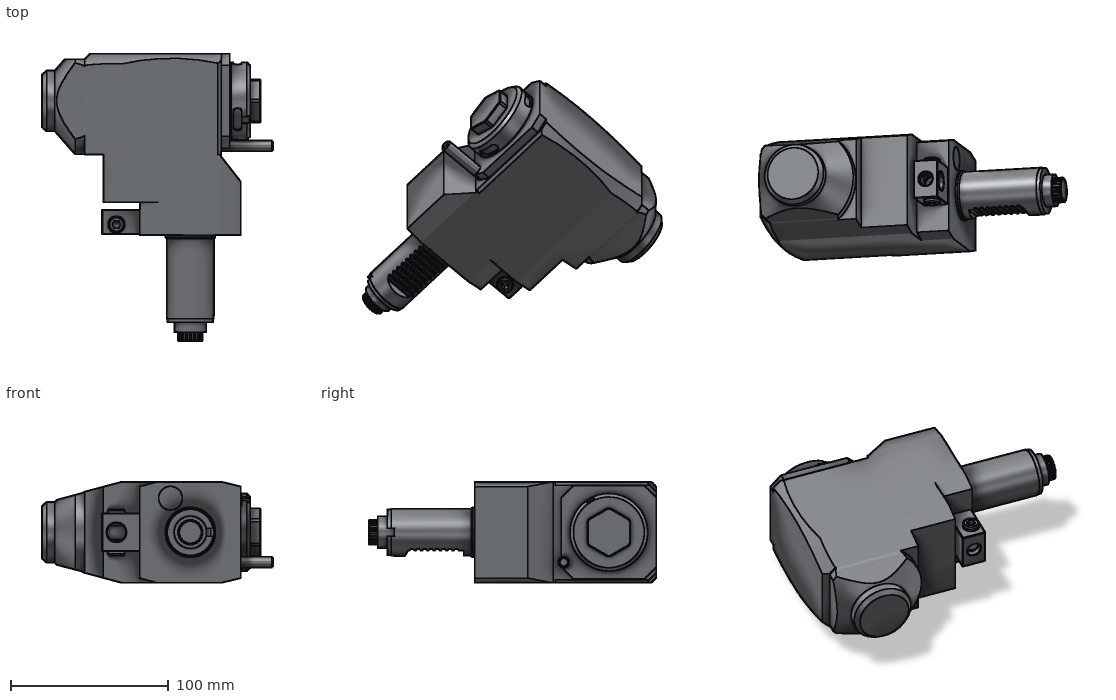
import cadquery as cq
import math


HALF_HEIGHT = 32.0
BASE_HALF_WIDTH = 32.0
BASE_DEPTH = 20.8
STEP_Y = 51.0
BACK_Y = 115.0
WAIST_X = -55.0
SPINDLE_FACE_X = -67.0
RIGHT_FACE_X = 19.5
SHOULDER_Y = 33.8
SHOULDER_TOP_Y = 49.8
BEVEL_ANGLE = 15.0
BASE_BEVEL_LEFT = -20.8
BASE_BEVEL_RIGHT = 19.8
HEAD_BEVEL_X = -43.5
BACK_CORNER = 3.6
BACK_ARC_X = -12.0
BACK_ARC_TOP_Y = 112.0
BACK_ARC_RADIUS = 140.0
RIGHT_CHAMFER = 2.1
PLUG_X, PLUG_Z = -12.6, 21.6
PLUG_RADIUS = 7.5
PLUG_RECESS = 0.2

SPINDLE_Y = 85.0
HEAD_RADIUS = 33.8
HEAD_CONE_X = -73.0
HEAD_NECK_X = -85.8
COLLAR_RADIUS = 19.3
COLLAR_END_X = -94.0
COLLAR_CHAMFER = 3.0
COLLAR_FACE_RADIUS = 16.6
HEAD_BEVEL_DROP = 0.4
HEAD_BEVEL_STEP = 1.8

PLATE_END_X = 25.0
PLATE_HALF_WIDTH = 30.0
PLATE_HALF_HEIGHT = 29.5
PLATE_CORNER = 7.5
NUT_NECK_RADIUS = 22.5
NUT_NECK_LENGTH = 1.0
NUT_RADIUS = 24.6
NUT_END_X = 38.0
NUT_CHAMFER = 2.2
SLOT_COUNT = 3
SLOT_X = 29.8
SLOT_WIDTH = 5.4
SLOT_LENGTH = 16.5
SLOT_DEPTH = 1.5
NOTCH_WIDTH = 5.0
HEX_CORNER_RADIUS = 15.8
HEX_EDGE_CHAMFER = 1.1
HEX_END_X = 44.4
HEX_CHAMFER = 0.5

OVERALL_LENGTH = 146.38
PIN_Y, PIN_Z = 56.5, -18.9
PIN_RADIUS = 3.5
PIN_END_X = COLLAR_END_X + OVERALL_LENGTH
PIN_CHAMFER = 1.0

SHANK_RADIUS = 15.0
FLANGE_RADIUS = 15.9
FLANGE_LENGTH = 1.2
FLANGE_TAPER = 1.0
SHANK_END_STEP = 52.8
SHANK_END_RADIUS = 14.6
SHANK_LENGTH = 55.2
JOURNAL_RADIUS = 10.2
JOURNAL_END = 61.3
SHAFT_END = 67.0
SPLINE_RADIUS = 7.9
SPLINE_ROOT_RADIUS = 6.9
SPLINE_TEETH = 20
SPLINE_CHAMFER = 0.5
KEY_WIDTH = 5.0
KEY_INNER_X = 9.6
KEY_DEPTH = 4.5
KEY_POCKET_END_X = 12.8
KEY_POCKET_DEPTH = 5.5

RACK_START = 6.9
RACK_END = 44.2
RACK_TIP_Z = -11.6
RACK_ROOT_Z = -10.6
RACK_FIRST_ROOT = 11.6
RACK_PITCH = 4.0
RACK_GAPS = 8
RACK_GAP_WIDTH = 3.2
RACK_ROOT_WIDTH = 1.2
RACK_RUNOUT = 2.2

BLOCK_END_X = -56.0
BLOCK_FRONT_Y, BLOCK_BACK_Y = 0.6, 16.2
BLOCK_HALF_HEIGHT = 12.1
BLOCK_CHAMFER = 0.4
SCREW_X, SCREW_Y = -46.8, 6.8
SCREW_RADIUS = 5.3
SCREW_HEAD_HEIGHT = 2.6
SCREW_CHAMFER = 1.0
SOCKET_RADIUS = 2.8
SOCKET_DEPTH = 5.0
SOCKET_TIP_DEPTH = 2.0
SCREW_TIP_Z = 4.3
CROSS_Y = 8.4
FRONT_BORE_RADIUS = 6.0
FRONT_BORE_END = 13.3
CROSS_BORE_RADIUS = 4.5
CROSS_BORE_END = -40.0
BORE_CHAMFER = 0.4
DRILL_RADIUS = 1.5
DRILL_LENGTH = 4.0


def rod_x(x_start, x_end, radius, y, z=0.0):
    """Cylinder along X."""
    return cq.Workplane("YZ", origin=(x_start, y, z)).circle(radius).extrude(x_end - x_start)


def rod_y(y_start, y_end, radius, x=0.0, z=0.0):
    """Cylinder along +Y from y_start to y_end."""
    return cq.Workplane("XZ", origin=(x, y_end, z)).circle(radius).extrude(y_end - y_start)


def bar_y(points, y_start, y_end):
    """Prism along Y with an XZ section."""
    return cq.Workplane("XZ", origin=(0, y_end, 0)).polyline(points).close().extrude(y_end - y_start)


def symmetric_section(upper):
    """Mirror an upper XZ edge line below Z = 0 to close a section."""
    return upper + [(x, -z) for x, z in reversed(upper)]


def bevel_z(start, x):
    """Height of a bevel that leaves the top plane at X = start."""
    return HALF_HEIGHT - abs(x - start) * math.tan(math.radians(BEVEL_ANGLE))


def make_base():
    edge_z = bevel_z(BASE_BEVEL_LEFT, -BASE_HALF_WIDTH)
    section = symmetric_section([
        (-BASE_HALF_WIDTH, edge_z),
        (BASE_BEVEL_LEFT, HALF_HEIGHT),
        (BASE_BEVEL_RIGHT, HALF_HEIGHT),
        (BASE_HALF_WIDTH, edge_z),
    ])
    outline = [
        (-BASE_HALF_WIDTH, 0),
        (BASE_HALF_WIDTH, 0),
        (BASE_HALF_WIDTH, SHOULDER_Y),
        (RIGHT_FACE_X, SHOULDER_TOP_Y),
        (0, SHOULDER_TOP_Y),
        (0, BASE_DEPTH),
        (-BASE_HALF_WIDTH, BASE_DEPTH),
    ]
    slab = cq.Workplane("XY").polyline(outline).close().extrude(HALF_HEIGHT, both=True)
    return slab.intersect(bar_y(section, 0, SHOULDER_TOP_Y))


def make_main_body():
    section = symmetric_section([
        (SPINDLE_FACE_X, bevel_z(HEAD_BEVEL_X, SPINDLE_FACE_X)),
        (HEAD_BEVEL_X, HALF_HEIGHT),
        (RIGHT_FACE_X, HALF_HEIGHT),
    ])
    outline = [
        (WAIST_X, BASE_DEPTH),
        (RIGHT_FACE_X, BASE_DEPTH),
        (RIGHT_FACE_X, BACK_Y),
        (SPINDLE_FACE_X + BACK_CORNER, BACK_Y),
        (SPINDLE_FACE_X, BACK_Y - BACK_CORNER),
        (SPINDLE_FACE_X, STEP_Y),
        (WAIST_X, STEP_Y),
    ]
    body = cq.Workplane("XY").polyline(outline).close().extrude(HALF_HEIGHT, both=True)
    body = body.intersect(bar_y(section, BASE_DEPTH, BACK_Y))

    rim = BACK_ARC_RADIUS + HALF_HEIGHT
    rear = (
        cq.Workplane("XZ", origin=(BACK_ARC_X, BACK_ARC_TOP_Y - BACK_ARC_RADIUS, 0))
        .polyline([
            (0, -HALF_HEIGHT),
            (BACK_ARC_RADIUS, -HALF_HEIGHT),
            (rim, 0),
            (BACK_ARC_RADIUS, HALF_HEIGHT),
            (0, HALF_HEIGHT),
        ])
        .close()
        .revolve(360, (0, 0, 0), (0, 1, 0))
    )
    body = body.intersect(rear)

    for side in (1, -1):
        corner = bar_y(
            [
                (RIGHT_FACE_X, side * HALF_HEIGHT),
                (RIGHT_FACE_X - RIGHT_CHAMFER, side * HALF_HEIGHT),
                (RIGHT_FACE_X, side * (HALF_HEIGHT - RIGHT_CHAMFER)),
            ],
            STEP_Y,
            BACK_Y,
        )
        body = body.cut(corner)
    return body


def make_spindle_head():
    profile = [
        (SPINDLE_FACE_X, 0),
        (SPINDLE_FACE_X, HEAD_RADIUS),
        (HEAD_CONE_X, HEAD_RADIUS),
        (HEAD_NECK_X, COLLAR_RADIUS),
        (HEAD_NECK_X, 0),
    ]
    head = (
        cq.Workplane("XY", origin=(0, SPINDLE_Y, 0))
        .polyline(profile)
        .close()
        .revolve(360, (0, 0, 0), (1, 0, 0))
    )
    step_x = SPINDLE_FACE_X - HEAD_BEVEL_STEP
    section = symmetric_section([
        (HEAD_NECK_X, bevel_z(HEAD_BEVEL_X, HEAD_NECK_X) - HEAD_BEVEL_DROP),
        (step_x, bevel_z(HEAD_BEVEL_X, step_x) - HEAD_BEVEL_DROP),
        (SPINDLE_FACE_X, bevel_z(HEAD_BEVEL_X, SPINDLE_FACE_X)),
    ])
    head = head.intersect(bar_y(section, SPINDLE_Y - HEAD_RADIUS, BACK_Y - BACK_CORNER))

    collar_profile = [
        (SPINDLE_FACE_X, 0),
        (SPINDLE_FACE_X, COLLAR_RADIUS),
        (COLLAR_END_X + COLLAR_CHAMFER, COLLAR_RADIUS),
        (COLLAR_END_X, COLLAR_FACE_RADIUS),
        (COLLAR_END_X, 0),
    ]
    collar = (
        cq.Workplane("XY", origin=(0, SPINDLE_Y, 0))
        .polyline(collar_profile)
        .close()
        .revolve(360, (0, 0, 0), (1, 0, 0))
    )
    return head.union(collar)


def make_plate():
    return (
        cq.Workplane("YZ", origin=(0, SPINDLE_Y, 0))
        .rect(2 * PLATE_HALF_WIDTH, 2 * PLATE_HALF_HEIGHT)
        .extrude(PLATE_END_X)
        .edges("|X")
        .chamfer(PLATE_CORNER)
    )


def make_nut():
    nut_start = PLATE_END_X + NUT_NECK_LENGTH
    nut = rod_x(nut_start, NUT_END_X, NUT_RADIUS, SPINDLE_Y).faces(">X").chamfer(NUT_CHAMFER)

    slot_floor = NUT_RADIUS - SLOT_DEPTH
    slot = (
        cq.Workplane("XZ", origin=(SLOT_X, SPINDLE_Y + NUT_RADIUS, 0))
        .slot2D(SLOT_LENGTH, SLOT_WIDTH, 90)
        .extrude(NUT_RADIUS)
        .cut(rod_x(0, NUT_END_X, slot_floor, SPINDLE_Y))
    )
    axis_start = (0, SPINDLE_Y, 0)
    axis_end = (1, SPINDLE_Y, 0)
    pitch_angle = 360.0 / SLOT_COUNT
    for index in range(SLOT_COUNT):
        nut = nut.cut(slot.rotate(axis_start, axis_end, index * pitch_angle))

    notch = cq.Workplane("XY").box(
        NUT_END_X - SLOT_X, SLOT_DEPTH, NOTCH_WIDTH, centered=(False, False, True)
    ).translate((SLOT_X, SPINDLE_Y + slot_floor, 0))
    nut = nut.cut(notch.rotate(axis_start, axis_end, pitch_angle))

    neck = rod_x(RIGHT_FACE_X, nut_start, NUT_NECK_RADIUS, SPINDLE_Y)
    hexagon = (
        cq.Workplane("YZ", origin=(RIGHT_FACE_X, SPINDLE_Y, 0))
        .transformed(rotate=(0, 0, 90))
        .polygon(6, 2 * HEX_CORNER_RADIUS)
        .extrude(HEX_END_X - RIGHT_FACE_X)
        .edges("|X")
        .chamfer(HEX_EDGE_CHAMFER)
        .faces(">X")
        .chamfer(HEX_CHAMFER)
    )
    return nut.union(neck).union(hexagon)


def make_pin():
    return rod_x(0, PIN_END_X, PIN_RADIUS, PIN_Y, PIN_Z).faces(">X").chamfer(PIN_CHAMFER)


def rack_cutter():
    """Relief under the shank with trapezoidal rack gaps."""
    bottom = -FLANGE_RADIUS
    relief = [
        (-RACK_START, bottom),
        (-RACK_START, RACK_TIP_Z),
        (-RACK_END + RACK_RUNOUT, RACK_TIP_Z),
        (-RACK_END, -SHANK_RADIUS),
        (-RACK_END, bottom),
    ]
    cutter = cq.Workplane("YZ").polyline(relief).close().extrude(SHANK_RADIUS, both=True)
    for index in range(RACK_GAPS):
        middle = -RACK_FIRST_ROOT - index * RACK_PITCH
        gap = [
            (middle - RACK_GAP_WIDTH / 2, RACK_TIP_Z),
            (middle - RACK_ROOT_WIDTH / 2, RACK_ROOT_Z),
            (middle + RACK_ROOT_WIDTH / 2, RACK_ROOT_Z),
            (middle + RACK_GAP_WIDTH / 2, RACK_TIP_Z),
        ]
        cutter = cutter.union(cq.Workplane("YZ").polyline(gap).close().extrude(SHANK_RADIUS, both=True))
    return cutter


def make_spline():
    spline = rod_y(-SHAFT_END, -JOURNAL_END, SPLINE_RADIUS).faces("<Y").chamfer(SPLINE_CHAMFER)
    gap_width = math.pi * SPLINE_ROOT_RADIUS / SPLINE_TEETH
    gap_height = 2 * (SPLINE_RADIUS - SPLINE_ROOT_RADIUS)
    gaps = (
        cq.Workplane("XZ", origin=(0, -JOURNAL_END, 0))
        .polarArray(SPLINE_ROOT_RADIUS + gap_height / 2, 0, 360, SPLINE_TEETH)
        .rect(gap_height, gap_width)
        .extrude(SHAFT_END - JOURNAL_END)
    )
    return spline.cut(gaps)


def make_shank():
    profile = [
        (0, BASE_DEPTH),
        (SHANK_RADIUS, BASE_DEPTH),
        (SHANK_RADIUS, 0),
        (FLANGE_RADIUS, 0),
        (FLANGE_RADIUS, -FLANGE_LENGTH),
        (SHANK_RADIUS, -FLANGE_LENGTH - FLANGE_TAPER),
        (SHANK_RADIUS, -SHANK_END_STEP),
        (SHANK_END_RADIUS, -SHANK_END_STEP),
        (SHANK_END_RADIUS, -SHANK_LENGTH),
        (JOURNAL_RADIUS, -SHANK_LENGTH),
        (JOURNAL_RADIUS, -JOURNAL_END),
        (0, -JOURNAL_END),
    ]
    shank = cq.Workplane("XY").polyline(profile).close().revolve(360, (0, 0, 0), (0, 1, 0))
    shank = shank.cut(rack_cutter())
    for end_x, depth in ((SHANK_RADIUS, KEY_DEPTH), (KEY_POCKET_END_X, KEY_POCKET_DEPTH)):
        key_slot = cq.Workplane("XY").box(
            end_x - KEY_INNER_X, depth, KEY_WIDTH, centered=(False, False, True)
        ).translate((KEY_INNER_X, -SHANK_LENGTH, 0))
        shank = shank.cut(key_slot)
    shank = shank.union(rod_y(-SHANK_LENGTH, 0, JOURNAL_RADIUS))
    return shank.union(make_spline())


def make_screw():
    """Set screw that stands out of the upper face of the coolant block and reaches into its bore."""
    screw_top = BLOCK_HALF_HEIGHT + SCREW_HEAD_HEIGHT
    screw = (
        cq.Workplane("XY", origin=(SCREW_X, SCREW_Y, SCREW_TIP_Z))
        .circle(SCREW_RADIUS)
        .extrude(screw_top - SCREW_TIP_Z)
        .edges("%CIRCLE")
        .chamfer(SCREW_CHAMFER)
    )
    socket_floor = screw_top - SOCKET_DEPTH
    socket = (
        cq.Workplane("XY", origin=(SCREW_X, SCREW_Y, socket_floor))
        .polygon(6, 2 * SOCKET_RADIUS)
        .extrude(SOCKET_DEPTH)
    )
    tip_radius = SOCKET_RADIUS * math.cos(math.pi / 6)
    tip = cq.Solid.makeCone(
        tip_radius,
        0,
        SOCKET_TIP_DEPTH,
        cq.Vector(SCREW_X, SCREW_Y, socket_floor),
        cq.Vector(0, 0, -1),
    )
    return screw.cut(socket).cut(cq.Workplane(obj=tip))


def make_coolant_block():
    block = (
        cq.Workplane("XY")
        .box(
            -BASE_HALF_WIDTH - BLOCK_END_X,
            BLOCK_BACK_Y - BLOCK_FRONT_Y,
            2 * BLOCK_HALF_HEIGHT,
            centered=(False, False, True),
        )
        .translate((BLOCK_END_X, BLOCK_FRONT_Y, 0))
        .edges("<X or |X")
        .chamfer(BLOCK_CHAMFER)
    )

    block = block.cut(rod_y(BLOCK_FRONT_Y, FRONT_BORE_END, FRONT_BORE_RADIUS, SCREW_X))
    block = block.cut(rod_x(BLOCK_END_X, CROSS_BORE_END, CROSS_BORE_RADIUS, CROSS_Y))
    front_mouth = cq.Solid.makeCone(
        FRONT_BORE_RADIUS + BORE_CHAMFER,
        FRONT_BORE_RADIUS,
        BORE_CHAMFER,
        cq.Vector(SCREW_X, BLOCK_FRONT_Y, 0),
        cq.Vector(0, 1, 0),
    )
    cross_mouth = cq.Solid.makeCone(
        CROSS_BORE_RADIUS + BORE_CHAMFER,
        CROSS_BORE_RADIUS,
        BORE_CHAMFER,
        cq.Vector(BLOCK_END_X, CROSS_Y, 0),
        cq.Vector(1, 0, 0),
    )
    block = block.cut(cq.Workplane(obj=front_mouth)).cut(cq.Workplane(obj=cross_mouth))
    drill_end = CROSS_BORE_END + DRILL_LENGTH
    block = block.cut(rod_x(CROSS_BORE_END, drill_end, DRILL_RADIUS, CROSS_Y))

    screw = make_screw()
    seat = (
        cq.Workplane("XY", origin=(SCREW_X, SCREW_Y, 0))
        .circle(SCREW_RADIUS)
        .extrude(BLOCK_HALF_HEIGHT, both=True)
    )
    return block.cut(seat).union(screw).union(screw.mirror("XY"))


housing = make_base().union(make_main_body())
housing = housing.cut(rod_y(0, PLUG_RECESS, PLUG_RADIUS, PLUG_X, PLUG_Z))

result = (
    housing.union(make_spindle_head())
    .union(make_plate())
    .union(make_nut())
    .union(make_pin())
    .union(make_shank())
    .union(make_coolant_block())
)